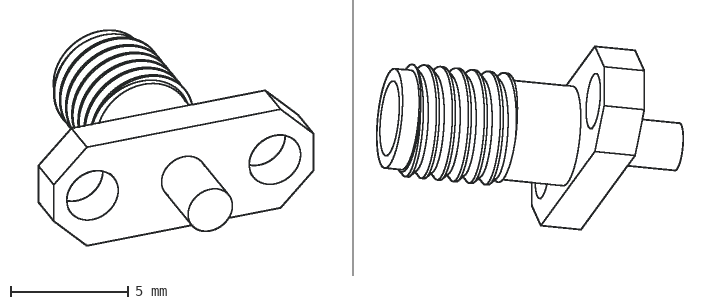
import cadquery as cq

total_length = 12.7
thread_start = 0.73
thread_end = 5.0
flange_front = 7.87
flange_thickness = 1.78
flange_rear = flange_front + flange_thickness

barrel_diameter = 4.27
ferrule_diameter = 2.04
socket_diameter = 3.2
socket_depth = 1.58
contact_hole_diameter = 1.6
contact_hole_depth = 2.0

flange_width = 11.94
flange_height = 4.83
corner_chamfer = 1.52
mounting_hole_diameter = 2.36
mounting_hole_spacing = 8.38

inch = 25.4
threads_per_inch = 36
thread_pitch = inch / threads_per_inch
thread_diameter = flange_height
crest_width = 0.13
groove_offset = 0.04
cutter_overlap = 0.04
blank_spare_turns = 3


def rod(diameter, x_start, x_end):
    """Cylinder on the connector axis between two X positions."""
    return (
        cq.Workplane("YZ", origin=(x_start, 0, 0))
        .circle(diameter / 2)
        .extrude(x_end - x_start)
    )


def make_groove_cutter():
    """Helical V cutter, built around Z and then turned onto the X axis."""
    root_radius = barrel_diameter / 2
    crest_radius = thread_diameter / 2
    outer_radius = crest_radius + cutter_overlap
    flank_slope = (thread_pitch - crest_width) / 2 / (crest_radius - root_radius)
    half_width = flank_slope * (outer_radius - root_radius)

    helix_start = thread_start + groove_offset - thread_pitch
    helix_length = thread_end - thread_start + 2 * thread_pitch
    helix = cq.Wire.makeHelix(
        thread_pitch, helix_length, root_radius, center=cq.Vector(0, 0, helix_start)
    )
    cutter = (
        cq.Workplane("XZ")
        .moveTo(root_radius, helix_start)
        .lineTo(outer_radius, helix_start + half_width)
        .lineTo(outer_radius, helix_start - half_width)
        .close()
        .sweep(cq.Workplane(helix), isFrenet=True)
    )
    return cutter.rotate((0, 0, 0), (1, 1, 1), 120)


def make_thread():
    """Threaded length of the barrel, cut off square at both ends.

    The groove is cut in a longer blank, so that it runs out inside the material
    beyond both ends, and the blank is then trimmed to length.
    """
    spare_length = blank_spare_turns * thread_pitch
    blank = rod(thread_diameter, thread_start - spare_length, thread_end + spare_length)
    trimmed_length = rod(2 * thread_diameter, thread_start, thread_end)
    return blank.cut(make_groove_cutter()).intersect(trimmed_length)


def make_flange():
    """Mounting plate with chamfered corners and two clearance holes."""
    plate = (
        cq.Workplane("YZ", origin=(flange_front, 0, 0))
        .rect(flange_width, flange_height)
        .extrude(flange_thickness)
        .edges("|X")
        .chamfer(corner_chamfer)
    )
    return (
        plate.faces("<X")
        .workplane(centerOption="CenterOfBoundBox")
        .rarray(mounting_hole_spacing, 1, 2, 1)
        .hole(mounting_hole_diameter)
    )


def make_bore():
    """Stepped blind bore: wide socket followed by the contact hole."""
    contact_hole_end = socket_depth + contact_hole_depth
    socket = rod(socket_diameter, 0, socket_depth)
    contact_hole = rod(contact_hole_diameter, socket_depth, contact_hole_end)
    return socket.union(contact_hole)


collar = rod(barrel_diameter, 0, thread_start)
shank = rod(barrel_diameter, thread_end, flange_front)
ferrule = rod(ferrule_diameter, flange_rear, total_length)

result = (
    make_thread()
    .union(collar)
    .union(shank)
    .union(make_flange())
    .union(ferrule)
    .cut(make_bore())
)